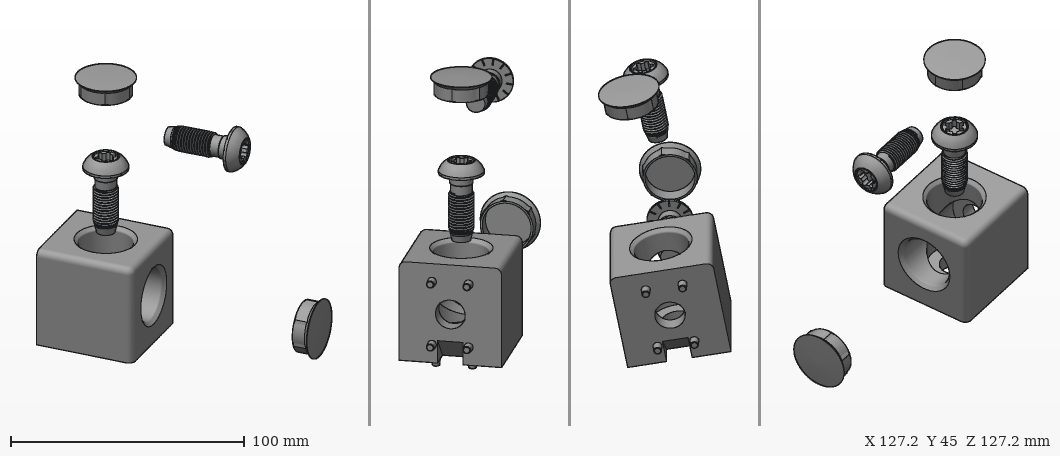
import cadquery as cq
import math

BLOCK_SIZE = 45.0
HALF_BLOCK = BLOCK_SIZE / 2
EDGE_RADIUS = 3.0
LEDGE_THICKNESS = 7.0
BORE_RADIUS = 11.9
SEAT_DEPTH = 1.7
SEAT_ANGLE = math.radians(45)
SEAT_BLEND_RADIUS = 1.0
BOLT_HOLE_RADIUS = 6.5
NOTCH_WIDTH = 11.1
NOTCH_LEG = 10.2

PIN_LENGTH = 4.0
PIN_BASE_RADIUS = 1.95
PIN_TIP_RADIUS = 1.65
PIN_CHAMFER = 0.3
PIN_PITCH_Y = 16.0
PIN_PITCH_LONG = 28.6

HEAD_RADIUS = 9.9
HEAD_TOP_RADIUS = 6.0
HEAD_HEIGHT = 5.8
RIM_HEIGHT = 1.2
DOME_POINT = (8.55, 3.65)
SHANK_RADIUS = 5.1
SHANK_LENGTH = 4.3
SHANK_TAPER = 0.4
ROOT_RADIUS = 4.7
CREST_RADIUS = 5.5
CREST_FLAT = 0.15
THREAD_PITCH = 1.25
RIDGE_BASE_WIDTH = 1.15
RIDGE_SINK = 0.2
THREAD_TOP = 8.2
RUN_OUT_MARGIN = 0.5
TOP_TAPER_SLOPE = 1.5
BOTTOM_TAPER_SLOPE = 3.75
THREAD_BOTTOM = 27.5
BOLT_LENGTH = 30.3
TIP_RADIUS = 4.1

LOBES = 6
SOCKET_CORE_RADIUS = 3.3
LOBE_CENTRE_RADIUS = 3.5
LOBE_RADIUS = 0.95
SOCKET_DEPTH = 4.0
DISH_RADIUS = 5.5
DISH_DEPTH = 0.4
LOBE_START_ANGLE = 37.5

GROOVES = 12
GROOVE_INNER_RADIUS = 7.0
GROOVE_WIDTH = 0.5
GROOVE_DEPTH = 0.2
GROOVE_START_ANGLE = 7.5

CAP_HEIGHT = 8.2
CAP_DOME = 0.5
FLANGE_RADIUS = 13.2
FLANGE_RIM = 0.3
SKIRT_RADIUS = 11.55
SKIRT_INNER_RADIUS = 10.7
CAP_INNER_DEPTH = 6.6
RIBS = 6
RIB_RADIUS = 12.0
RIB_WIDTH = 2.8
RIB_START = 0.35
CAP_TURN = -7.5

TOP_CAP_Z = 92.5
TOP_BOLT_Z = 56.6
SIDE_BOLT_X = 59.4
SIDE_BOLT_Z = 78.0


def facing_x(body):
    """Turn a body standing along +Z so that it points along +X."""
    return body.rotate((0, 0, 0), (0, 1, 0), 90)


def make_bore():
    """Stepped opening along Z: cap seat, head bore and bolt hole."""
    ledge = -HALF_BLOCK + LEDGE_THICKNESS
    seat_radius = BORE_RADIUS + SEAT_DEPTH * math.tan(SEAT_ANGLE)
    seat_bottom = HALF_BLOCK - SEAT_DEPTH
    blend_length = SEAT_BLEND_RADIUS * math.tan(SEAT_ANGLE / 2)
    blend_rise = blend_length * math.sin(SEAT_ANGLE)
    return (
        cq.Workplane("XZ")
        .moveTo(0, -HALF_BLOCK)
        .lineTo(BOLT_HOLE_RADIUS, -HALF_BLOCK)
        .lineTo(BOLT_HOLE_RADIUS, ledge)
        .lineTo(BORE_RADIUS, ledge)
        .lineTo(BORE_RADIUS, seat_bottom - blend_length)
        .tangentArcPoint((BORE_RADIUS + blend_rise, seat_bottom + blend_rise), relative=False)
        .lineTo(seat_radius, HALF_BLOCK)
        .lineTo(0, HALF_BLOCK)
        .close()
        .revolve(360, (0, 0, 0), (0, 1, 0))
    )


def make_pins():
    """Four tapered pins pointing down from the bottom face."""
    shoulder = PIN_LENGTH - PIN_CHAMFER
    pin = (
        cq.Workplane("XZ")
        .moveTo(0, 0)
        .lineTo(PIN_BASE_RADIUS, 0)
        .lineTo(PIN_TIP_RADIUS, -shoulder)
        .lineTo(PIN_TIP_RADIUS - PIN_CHAMFER, -PIN_LENGTH)
        .lineTo(0, -PIN_LENGTH)
        .close()
        .revolve(360, (0, 0, 0), (0, 1, 0))
        .val()
    )
    return (
        cq.Workplane("XY")
        .workplane(offset=-HALF_BLOCK)
        .rarray(PIN_PITCH_LONG, PIN_PITCH_Y, 2, 2)
        .eachpoint(lambda place: pin.moved(place))
    )


def make_block():
    block = cq.Workplane("XY").box(BLOCK_SIZE, BLOCK_SIZE, BLOCK_SIZE)
    rounded_edges = "(|X and >Z) or (|Z and >X) or (|Y and >X and >Z)"
    block = block.edges(rounded_edges).fillet(EDGE_RADIUS)

    bore = make_bore()
    block = block.cut(bore).cut(facing_x(bore))

    notch = (
        cq.Workplane("XZ")
        .moveTo(-HALF_BLOCK, -HALF_BLOCK)
        .lineTo(-HALF_BLOCK + NOTCH_LEG, -HALF_BLOCK)
        .lineTo(-HALF_BLOCK, -HALF_BLOCK + NOTCH_LEG)
        .close()
        .extrude(NOTCH_WIDTH / 2, both=True)
    )
    block = block.cut(notch)

    pins = make_pins()
    return block.union(pins).union(facing_x(pins))


def make_thread():
    """Helical ridge around the shank, tapered off at both ends."""
    length = THREAD_BOTTOM - THREAD_TOP
    inner = ROOT_RADIUS - RIDGE_SINK
    base_half = RIDGE_BASE_WIDTH / 2
    path = cq.Wire.makeHelix(THREAD_PITCH, length, inner)
    ridge = (
        cq.Workplane("XZ")
        .moveTo(inner, -base_half)
        .lineTo(CREST_RADIUS, -CREST_FLAT / 2)
        .lineTo(CREST_RADIUS, CREST_FLAT / 2)
        .lineTo(inner, base_half)
        .close()
        .sweep(cq.Workplane(path), isFrenet=True)
        .translate((0, 0, -THREAD_BOTTOM))
    )
    clear_radius = CREST_RADIUS + RUN_OUT_MARGIN
    envelope = (
        cq.Workplane("XZ")
        .moveTo(0, -THREAD_TOP)
        .lineTo(ROOT_RADIUS, -THREAD_TOP)
        .lineTo(clear_radius, -THREAD_TOP - TOP_TAPER_SLOPE * (clear_radius - ROOT_RADIUS))
        .lineTo(clear_radius, -THREAD_BOTTOM + BOTTOM_TAPER_SLOPE * (clear_radius - ROOT_RADIUS))
        .lineTo(ROOT_RADIUS, -THREAD_BOTTOM)
        .lineTo(0, -THREAD_BOTTOM)
        .close()
        .revolve(360, (0, 0, 0), (0, 1, 0))
    )
    return ridge.intersect(envelope, clean=False)


def make_socket():
    """Six-lobed socket with a shallow conical dish around its mouth."""
    floor = cq.Workplane("XY").workplane(offset=HEAD_HEIGHT - SOCKET_DEPTH)
    core = floor.circle(SOCKET_CORE_RADIUS).extrude(SOCKET_DEPTH)
    lobes = (
        floor.polarArray(LOBE_CENTRE_RADIUS, LOBE_START_ANGLE, 360, LOBES)
        .circle(LOBE_RADIUS)
        .extrude(SOCKET_DEPTH)
    )
    dish = (
        cq.Workplane("XZ")
        .moveTo(0, HEAD_HEIGHT - DISH_DEPTH)
        .lineTo(DISH_RADIUS - DISH_DEPTH, HEAD_HEIGHT - DISH_DEPTH)
        .lineTo(DISH_RADIUS, HEAD_HEIGHT)
        .lineTo(0, HEAD_HEIGHT)
        .close()
        .revolve(360, (0, 0, 0), (0, 1, 0))
    )
    return core.union(lobes).union(dish)


def make_grooves():
    groove_length = HEAD_RADIUS - GROOVE_INNER_RADIUS
    middle = GROOVE_INNER_RADIUS + groove_length / 2
    return (
        cq.Workplane("XY")
        .polarArray(middle, GROOVE_START_ANGLE, 360, GROOVES)
        .rect(groove_length, GROOVE_WIDTH)
        .extrude(GROOVE_DEPTH)
    )


def make_bolt():
    bolt = (
        cq.Workplane("XZ")
        .moveTo(0, HEAD_HEIGHT)
        .lineTo(HEAD_TOP_RADIUS, HEAD_HEIGHT)
        .threePointArc(DOME_POINT, (HEAD_RADIUS, RIM_HEIGHT))
        .lineTo(HEAD_RADIUS, 0)
        .lineTo(SHANK_RADIUS, 0)
        .lineTo(SHANK_RADIUS, -SHANK_LENGTH)
        .lineTo(ROOT_RADIUS, -SHANK_LENGTH - SHANK_TAPER)
        .lineTo(ROOT_RADIUS, -THREAD_BOTTOM)
        .lineTo(TIP_RADIUS, -BOLT_LENGTH)
        .lineTo(0, -BOLT_LENGTH)
        .close()
        .revolve(360, (0, 0, 0), (0, 1, 0))
    )
    bolt = bolt.cut(make_socket()).cut(make_grooves())
    return bolt.union(make_thread())


def make_cap():
    """Domed plug with a 45 degree flange and a hollow skirt carrying grip ribs."""
    rim_top = CAP_HEIGHT - CAP_DOME
    rim_bottom = rim_top - FLANGE_RIM
    skirt_top = rim_bottom - (FLANGE_RADIUS - SKIRT_RADIUS)
    dome_sphere = (FLANGE_RADIUS**2 + CAP_DOME**2) / (2 * CAP_DOME)
    mid_radius = FLANGE_RADIUS / 2
    mid_height = CAP_HEIGHT - dome_sphere + math.sqrt(dome_sphere**2 - mid_radius**2)
    cap = (
        cq.Workplane("XZ")
        .moveTo(SKIRT_INNER_RADIUS, 0)
        .lineTo(SKIRT_RADIUS, 0)
        .lineTo(SKIRT_RADIUS, skirt_top)
        .lineTo(FLANGE_RADIUS, rim_bottom)
        .lineTo(FLANGE_RADIUS, rim_top)
        .threePointArc((mid_radius, mid_height), (0, CAP_HEIGHT))
        .lineTo(0, CAP_INNER_DEPTH)
        .lineTo(SKIRT_INNER_RADIUS, CAP_INNER_DEPTH)
        .close()
        .revolve(360, (0, 0, 0), (0, 1, 0))
    )
    rib_root = (SKIRT_RADIUS + SKIRT_INNER_RADIUS) / 2
    rib_base = math.sqrt(SKIRT_RADIUS**2 - (RIB_WIDTH / 2) ** 2)
    rib = (
        cq.Workplane("XY")
        .workplane(offset=RIB_START)
        .moveTo(rib_root, -RIB_WIDTH / 2)
        .lineTo(rib_base, -RIB_WIDTH / 2)
        .lineTo(RIB_RADIUS, 0)
        .lineTo(rib_base, RIB_WIDTH / 2)
        .lineTo(rib_root, RIB_WIDTH / 2)
        .close()
        .extrude(skirt_top + (RIB_RADIUS - SKIRT_RADIUS) - RIB_START)
    )
    for index in range(RIBS):
        angle = CAP_TURN + index * 360 / RIBS
        cap = cap.union(rib.rotate((0, 0, 0), (0, 0, 1), angle))
    return cap


block = make_block()

bolt = make_bolt()
top_bolt = bolt.translate((0, 0, TOP_BOLT_Z))
side_bolt = facing_x(bolt).translate((SIDE_BOLT_X, 0, SIDE_BOLT_Z))

cap = make_cap()
top_cap = cap.translate((0, 0, TOP_CAP_Z))
side_cap = facing_x(cap).translate((TOP_CAP_Z, 0, 0))

bodies = [block, top_bolt, side_bolt, top_cap, side_cap]
result = cq.Compound.makeCompound([body.val() for body in bodies])